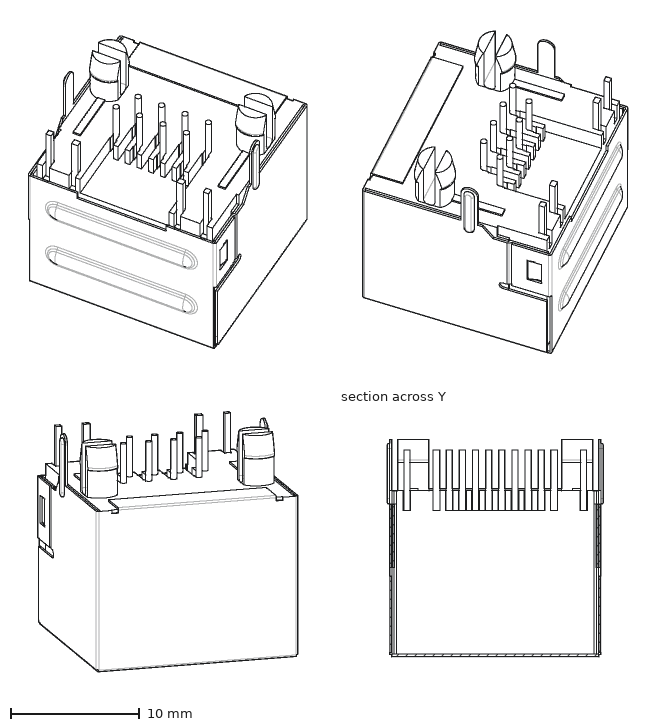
import cadquery as cq
import math


SHELL_WIDTH = 16.4
SHELL_DEPTH = 15.78
SHELL_TOP = 12.91
SHEET = 0.17
BEND_RADIUS = 0.2
BOTTOM_THICKNESS = 0.24
BOTTOM_STEP_WIDTH = 0.15
BOTTOM_STEP_HEIGHT = 0.19
BOTTOM_BEND_RADIUS = 0.17
OVERALL_HEIGHT = 16.9

FRONT_TOP = 11.86
NOTCH_DEPTH = 0.57
SLOPE_START_Y = 5.75
SLOPE_END_Y = 4.83

TAB_BOTTOM = 6.93
TAB_END_Y = 3.3
RELIEF_SLOT_HEIGHT = 0.66
RELIEF_SLOT_END_Y = 4.33
SIDE_FRONT_Y = 0.35
JOG_START_Y = 3.67
JOG_BEND_Y = 3.53
JOG_BEND_STEP = 0.05
TAB_GAP = 0.02
SIDE_CORNER_RADIUS = 0.17
WINDOW_Y = (0.8, 2.01)
WINDOW_Z = (8.25, 10.48)
LATCH_CLEARANCE = 0.08

LUG_Y = 6.83
LUG_WIDTH = 1.4
LUG_BEAD_WIDTH = 0.85
LUG_BEAD_HEIGHT = 0.2
LUG_BEAD_FILLET = 0.19
LUG_BEAD_Z = (11.86, 16.6)

RIB_LEVELS = (3.99, 8.99)
RIB_HALF_SPAN = 5.58
RIB_HALF_HEIGHT = 1.05
RIB_DEPTH = 0.47
RIB_DOME_RADIUS = 1.01
RIB_FOOT_RADIUS = 0.32
RIB_SLOPE = math.radians(42)

HOUSING_WIDTH = 15.72
HOUSING_NOSE_WIDTH = 15.31
HOUSING_FRONT_Y = 0.54
NOSE_END_Y = 4.65
PAD_HEIGHT = 0.15
BACK_PAD_WIDTH = 12.81
BACK_PAD_LENGTH = 2.69
BACK_RELIEF_WIDTH = 0.54
BACK_RELIEF_DEPTH = 0.25
RAIL_WIDTH = 0.63
RAIL_X = 6.32
RAIL_START_Y = 4.72

RECESS_FLOOR = 11.39
RECESS_END_Y = 5.02
PIN_TOP = 16.07
PIN_DIAMETER = 0.49
PIN_COUNT = 8
PIN_SPAN = 7.15
PIN_PITCH = PIN_SPAN / (PIN_COUNT - 1)
PIN_ROWS_Y = (6.08, 7.85)
PIN_SLOT_WIDTH = 0.6
PIN_SLOT_NECK = 0.49
RECESS_WIDTH = PIN_SPAN + PIN_SLOT_WIDTH

SQUARE_PIN_Y = (0.98, 1.45)
SQUARE_PINS = ((4.58, 0.54, 0.54), (6.86, 0.45, 0.59))

PEG_X = 6.37
PEG_Y = 10.41
PEG_WIDTH = 2.43
PEG_RADIUS = 1.52
PEG_BARB_RADIUS = 1.6
PEG_TIP_RADIUS = 1.32
PEG_BARB_Z = (15.1, 15.31)
PEG_SLOT_WIDTH = 0.95
PEG_SLOT_CENTRE_Z = 13.32


def block(x_range, y_range, z_range):
    """Box between the given limits."""
    size = [high - low for low, high in (x_range, y_range, z_range)]
    corner = (x_range[0], y_range[0], z_range[0])
    return cq.Workplane("XY").box(*size, centered=False).translate(corner)


def centred_block(width, y_range, z_range, x=0.0):
    """Box of the given width, centred on x."""
    return block((x - width / 2, x + width / 2), y_range, z_range)


def both_sides(shape):
    """The shape together with its mirror image across X = 0."""
    return shape.union(shape.mirror("YZ"))


def side_profile(points, x_start, thickness):
    """Plate with the given (y, z) outline, from x_start towards +X."""
    return cq.Workplane("YZ").workplane(offset=x_start).polyline(points).close().extrude(thickness)


def make_shield():
    """Sheet-metal tray of front, back, bottom and side plates."""
    half = SHELL_WIDTH / 2
    inner_half = half - SHEET
    outer = centred_block(SHELL_WIDTH, (0, SHELL_DEPTH), (0, SHELL_TOP))
    bottom_bends = outer.edges("|X and <Z").fillet(BOTTOM_BEND_RADIUS)
    outer = outer.edges("|Z").fillet(BEND_RADIUS).intersect(bottom_bends)
    cavity_y = (SHEET, SHELL_DEPTH - SHEET)
    cavity = centred_block(2 * inner_half, cavity_y, (BOTTOM_THICKNESS, SHELL_TOP))
    shield = outer.cut(cavity)

    step = block((half - BOTTOM_STEP_WIDTH, half), (0, SHELL_DEPTH), (0, BOTTOM_STEP_HEIGHT))
    shield = shield.cut(both_sides(step))

    dropped_edge = [
        (0, SHELL_TOP),
        (SLOPE_START_Y, SHELL_TOP),
        (SLOPE_END_Y, FRONT_TOP),
        (0, FRONT_TOP),
    ]
    shield = shield.cut(side_profile(dropped_edge, -half, SHELL_WIDTH))
    notch_floor = FRONT_TOP - NOTCH_DEPTH
    shield = shield.cut(centred_block(RECESS_WIDTH, (0, SHEET), (notch_floor, FRONT_TOP)))

    slot_radius = RELIEF_SLOT_HEIGHT / 2
    slot_bottom = TAB_BOTTOM - RELIEF_SLOT_HEIGHT
    slot_end = (
        cq.Workplane("YZ")
        .workplane(offset=inner_half)
        .center(RELIEF_SLOT_END_Y - slot_radius, TAB_BOTTOM - slot_radius)
        .circle(slot_radius)
        .extrude(SHEET)
    )
    slot_length = (0, RELIEF_SLOT_END_Y - slot_radius)
    slot = block((inner_half, half), slot_length, (slot_bottom, TAB_BOTTOM)).union(slot_end)
    corner_x = (inner_half, half)
    corner = block(corner_x, (0, SIDE_FRONT_Y), (0, slot_bottom))
    gap = block((0, half), (SHEET, SIDE_FRONT_Y), (BOTTOM_THICKNESS, slot_bottom))
    shield = shield.cut(both_sides(slot.union(corner).union(gap)))

    round_y = SIDE_FRONT_Y + SIDE_CORNER_RADIUS
    round_z = BOTTOM_STEP_HEIGHT + SIDE_CORNER_RADIUS
    past_bottom = block(corner_x, (SIDE_FRONT_Y, round_y), (BOTTOM_STEP_HEIGHT, round_z))
    rounding = (
        cq.Workplane("YZ")
        .workplane(offset=inner_half)
        .center(round_y, round_z)
        .circle(SIDE_CORNER_RADIUS)
        .extrude(SHEET)
    )
    shield = shield.cut(both_sides(past_bottom.cut(rounding)))

    jog_gap = block(corner_x, (TAB_END_Y, JOG_START_Y), (TAB_BOTTOM, FRONT_TOP))
    window = block(corner_x, WINDOW_Y, WINDOW_Z)
    return shield.cut(both_sides(jog_gap.union(window)))


def make_stepped_sheets():
    """Part of each side sheet that steps inwards under the tab, with its latch wedge."""
    half = SHELL_WIDTH / 2
    inner_half = half - SHEET
    stepped_half = inner_half - TAB_GAP
    outline = [
        (half, JOG_START_Y),
        (half - JOG_BEND_STEP, JOG_BEND_Y),
        (stepped_half, TAB_END_Y),
        (stepped_half, SIDE_FRONT_Y),
        (stepped_half - SHEET, SIDE_FRONT_Y),
        (stepped_half - SHEET, JOG_BEND_Y),
        (inner_half, JOG_START_Y),
    ]
    sheet = (
        cq.Workplane("XY")
        .workplane(offset=TAB_BOTTOM)
        .polyline(outline)
        .close()
        .extrude(FRONT_TOP - TAB_BOTTOM)
    )
    latch_bottom = WINDOW_Z[0] + LATCH_CLEARANCE
    latch_outline = [
        (stepped_half, WINDOW_Y[0]),
        (half, WINDOW_Y[1] - LATCH_CLEARANCE),
        (stepped_half, WINDOW_Y[1] - LATCH_CLEARANCE),
    ]
    latch = (
        cq.Workplane("XY")
        .workplane(offset=latch_bottom)
        .polyline(latch_outline)
        .close()
        .extrude(WINDOW_Z[1] - latch_bottom)
    )
    return both_sides(sheet.union(latch))


def make_lugs():
    """Round-topped tongues on the side sheets, each stiffened by a bead on its outer face."""
    half = SHELL_WIDTH / 2
    radius = LUG_WIDTH / 2
    lug = (
        cq.Workplane("YZ")
        .workplane(offset=half - SHEET)
        .moveTo(LUG_Y - radius, SHELL_TOP)
        .lineTo(LUG_Y - radius, OVERALL_HEIGHT - radius)
        .threePointArc((LUG_Y, OVERALL_HEIGHT), (LUG_Y + radius, OVERALL_HEIGHT - radius))
        .lineTo(LUG_Y + radius, SHELL_TOP)
        .close()
        .extrude(SHEET)
    )
    bead_bottom, bead_top = LUG_BEAD_Z
    bead = (
        cq.Workplane("YZ")
        .workplane(offset=half)
        .center(LUG_Y, (bead_bottom + bead_top) / 2)
        .slot2D(bead_top - bead_bottom, LUG_BEAD_WIDTH, 90)
        .extrude(LUG_BEAD_HEIGHT)
        .faces(">X")
        .edges()
        .fillet(LUG_BEAD_FILLET)
    )
    return both_sides(lug.union(bead))


def make_rib(level):
    """Raised bead on the front plate: concave foot, straight flank and domed crest."""
    sine = math.sin(RIB_SLOPE)
    cosine = math.cos(RIB_SLOPE)
    half_slope = RIB_SLOPE / 2
    foot_end = (
        RIB_HALF_HEIGHT - RIB_FOOT_RADIUS * sine,
        -RIB_FOOT_RADIUS * (1 - cosine),
    )
    foot_middle = (
        RIB_HALF_HEIGHT - RIB_FOOT_RADIUS * math.sin(half_slope),
        -RIB_FOOT_RADIUS * (1 - math.cos(half_slope)),
    )
    dome_centre = RIB_DOME_RADIUS - RIB_DEPTH
    dome_start = (RIB_DOME_RADIUS * sine, dome_centre - RIB_DOME_RADIUS * cosine)
    dome_middle = (
        RIB_DOME_RADIUS * math.sin(half_slope),
        dome_centre - RIB_DOME_RADIUS * math.cos(half_slope),
    )
    half_section = (
        cq.Workplane("XY")
        .moveTo(0, SHEET)
        .lineTo(RIB_HALF_HEIGHT, SHEET)
        .lineTo(RIB_HALF_HEIGHT, 0)
        .threePointArc(foot_middle, foot_end)
        .lineTo(*dome_start)
        .threePointArc(dome_middle, (0, -RIB_DEPTH))
        .close()
        .val()
    )
    section = cq.Workplane("XY").add(half_section)
    round_end = section.toPending().revolve(360, (0, 0, 0), (0, 1, 0))
    upper_half = section.toPending().extrude(2 * RIB_HALF_SPAN)
    upper_half = upper_half.rotate((0, 0, 0), (0, 1, 0), -90)
    upper_half = upper_half.translate((RIB_HALF_SPAN, 0, 0))
    rib = upper_half.union(upper_half.mirror("XY"))
    for end in (-RIB_HALF_SPAN, RIB_HALF_SPAN):
        rib = rib.union(round_end.translate((end, 0, 0)))
    return rib.translate((0, 0, level))


def make_housing():
    """Solid block in the shield, narrower at the nose, with the pin recess and slots in its top."""
    height = (BOTTOM_THICKNESS, SHELL_TOP)
    back_y = SHELL_DEPTH - SHEET
    housing = centred_block(HOUSING_WIDTH, (NOSE_END_Y, back_y), height)
    nose = centred_block(HOUSING_NOSE_WIDTH, (HOUSING_FRONT_Y, NOSE_END_Y), height)
    ledge_z = (BOTTOM_THICKNESS, FRONT_TOP)
    ledge = centred_block(HOUSING_WIDTH, (JOG_START_Y, NOSE_END_Y), ledge_z)
    housing = housing.union(nose).union(ledge)

    recess_height = (RECESS_FLOOR, SHELL_TOP)
    recess = centred_block(RECESS_WIDTH, (HOUSING_FRONT_Y, RECESS_END_Y), recess_height)
    housing = housing.cut(recess)
    for x, row_y in pin_places():
        wide_end = row_y - PIN_DIAMETER
        wide = centred_block(PIN_SLOT_WIDTH, (RECESS_END_Y, wide_end), recess_height, x)
        neck = centred_block(PIN_SLOT_NECK, (wide_end, row_y), recess_height, x)
        housing = housing.cut(wide).cut(neck)
    for x, _, slot_width in SQUARE_PINS:
        slot_y = (HOUSING_FRONT_Y, SQUARE_PIN_Y[1])
        housing = housing.cut(both_sides(centred_block(slot_width, slot_y, recess_height, x)))
    return housing


def pin_places():
    """X and Y of the round pins, alternating between the two rows."""
    return [(-PIN_SPAN / 2 + i * PIN_PITCH, PIN_ROWS_Y[i % 2]) for i in range(PIN_COUNT)]


def make_pins():
    """Round contact pins and square pins, rooted one sheet thickness below the recess floor."""
    pins = (
        cq.Workplane("XY")
        .workplane(offset=RECESS_FLOOR - SHEET)
        .pushPoints(pin_places())
        .circle(PIN_DIAMETER / 2)
        .extrude(PIN_TOP - RECESS_FLOOR + SHEET)
    )
    for x, width, _ in SQUARE_PINS:
        pin = centred_block(width, SQUARE_PIN_Y, (RECESS_FLOOR - SHEET, PIN_TOP), x)
        pins = pins.union(both_sides(pin))
    return pins


def make_peg():
    """Barbed peg with flat sides, before it is split."""
    barb_bottom, barb_top = PEG_BARB_Z
    peg = (
        cq.Workplane("XZ")
        .moveTo(0, SHELL_TOP - SHEET)
        .lineTo(PEG_RADIUS, SHELL_TOP - SHEET)
        .lineTo(PEG_RADIUS, barb_bottom)
        .lineTo(PEG_BARB_RADIUS, barb_bottom)
        .lineTo(PEG_BARB_RADIUS, barb_top)
        .lineTo(PEG_TIP_RADIUS, OVERALL_HEIGHT)
        .lineTo(0, OVERALL_HEIGHT)
        .close()
        .revolve(360, (0, 0, 0), (0, 1, 0))
    )
    limit_y = (-PEG_BARB_RADIUS, PEG_BARB_RADIUS)
    flats = centred_block(PEG_WIDTH, limit_y, (0, OVERALL_HEIGHT))
    return peg.intersect(flats).translate((PEG_X, PEG_Y, 0))


def make_peg_slot():
    """Slot that splits a peg, with a round bottom dipping just below the housing top."""
    radius = PEG_SLOT_WIDTH / 2
    slot_y = (PEG_Y - radius, PEG_Y + radius)
    straight = centred_block(PEG_WIDTH, slot_y, (PEG_SLOT_CENTRE_Z, OVERALL_HEIGHT), PEG_X)
    bottom = (
        cq.Workplane("YZ")
        .workplane(offset=PEG_X - PEG_WIDTH / 2)
        .center(PEG_Y, PEG_SLOT_CENTRE_Z)
        .circle(radius)
        .extrude(PEG_WIDTH)
    )
    return straight.union(bottom)


def make_rails():
    """Low rails running from the pegs towards the front."""
    rail_z = (SHELL_TOP - SHEET, SHELL_TOP + PAD_HEIGHT)
    rail_y = (RAIL_START_Y, PEG_Y - PEG_SLOT_WIDTH)
    return both_sides(centred_block(RAIL_WIDTH, rail_y, rail_z, RAIL_X))


def make_back_pad():
    """Strip folded from the back plate over the top of the housing."""
    pad_y = (SHELL_DEPTH - BACK_PAD_LENGTH, SHELL_DEPTH)
    pad_z = (SHELL_TOP - BACK_RELIEF_DEPTH, SHELL_TOP + PAD_HEIGHT)
    pad = centred_block(BACK_PAD_WIDTH, pad_y, pad_z)
    return pad.edges(">Y and >Z").fillet(PAD_HEIGHT)


def make_back_reliefs():
    """Small notches in the back plate at both ends of the folded strip."""
    relief_x = (BACK_PAD_WIDTH + BACK_RELIEF_WIDTH) / 2
    relief_y = (SHELL_DEPTH - SHEET, SHELL_DEPTH)
    relief_z = (SHELL_TOP - BACK_RELIEF_DEPTH, SHELL_TOP)
    return both_sides(centred_block(BACK_RELIEF_WIDTH, relief_y, relief_z, relief_x))


result = make_shield().union(make_stepped_sheets()).union(make_lugs())
for rib_level in RIB_LEVELS:
    result = result.union(make_rib(rib_level))
result = result.union(make_housing()).union(make_pins())
result = result.union(make_rails()).union(both_sides(make_peg())).cut(both_sides(make_peg_slot()))
result = result.cut(make_back_reliefs()).union(make_back_pad())